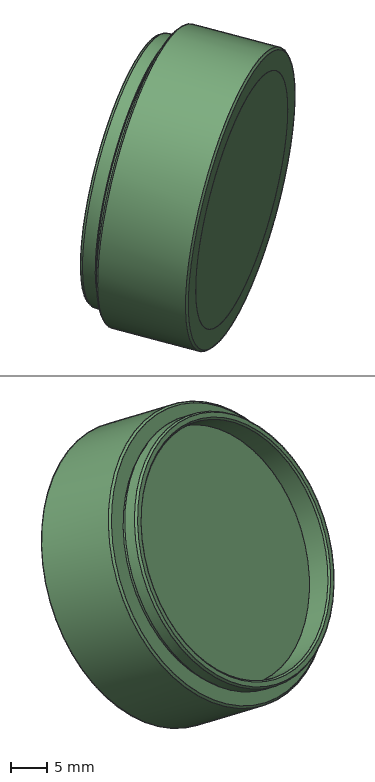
import cadquery as cq

total_length = 16.5
body_radius = 21.6
body_chamfer = 0.3
shoulder_x = 3.05
nose_radius = 19.5
nose_taper_length = 0.4
nose_taper_depth = 0.2
groove_start_x = 2.25
groove_radius = 19.0
bore_radius = 18.35
bore_chamfer = 0.25
lens_front_x = 3.8

nose_tip_radius = nose_radius - nose_taper_depth
body_face_radius = body_radius - body_chamfer
bore_mouth_radius = bore_radius + bore_chamfer


def make_housing():
    """Turned sleeve: tapered nose, relief groove, main body and a through bore."""
    half_section = [
        (bore_chamfer, bore_radius),
        (0, bore_mouth_radius),
        (0, nose_tip_radius),
        (nose_taper_length, nose_radius),
        (groove_start_x, nose_radius),
        (groove_start_x, groove_radius),
        (shoulder_x, groove_radius),
        (shoulder_x, body_face_radius),
        (shoulder_x + body_chamfer, body_radius),
        (total_length - body_chamfer, body_radius),
        (total_length, body_face_radius),
        (total_length, bore_radius),
    ]
    return cq.Workplane("XZ").polyline(half_section).close().revolve(360, (0, 0, 0), (1, 0, 0))


def make_lens():
    """Flat-faced disc that fills the bore from its front face to the rear of the housing."""
    lens_thickness = total_length - lens_front_x
    return cq.Workplane("YZ").workplane(offset=lens_front_x).circle(bore_radius).extrude(lens_thickness)


housing = make_housing()
lens = make_lens()
result = cq.Compound.makeCompound([housing.val(), lens.val()])